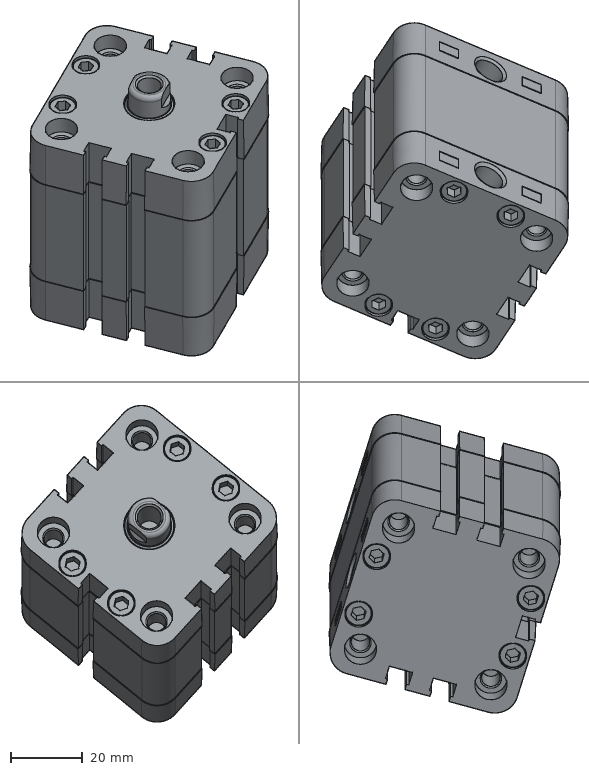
import cadquery as cq
import math


TOTAL_HEIGHT = 72.0
ROD_STICKOUT = 7.2
BODY_HEIGHT = TOTAL_HEIGHT - ROD_STICKOUT
CAP_HEIGHT = 14.5
BARREL_HEIGHT = BODY_HEIGHT - 2 * CAP_HEIGHT
CAP_WIDTH = 54.8
BARREL_WIDTH = 54.35
CAP_END_WIDTH = 54.3
CORNER_CENTRE = 20.6

SLOT_OFFSET = 6.4
SLOT_MOUTH_WIDTH = 5.55
SLOT_WIDTH = 6.8
CAP_SLOT_LIP = 1.7
CAP_SLOT_DEPTH = 5.55
BARREL_SLOT_LIP = 1.9
BARREL_SLOT_DEPTH = 5.25

PORT_DIAMETER = 8.6
PORT_MOUTH_DIAMETER = 10.4
PORT_DROP = 7.85
PORT_FLOOR_DIAMETER = 40.0
PANEL_OFFSET = 13.1
PANEL_WIDTH = 6.0
PANEL_HEIGHT = 4.0
PANEL_DROP = 7.05
PANEL_DEPTH = 0.3

MOUNT_OFFSET = 19.0
MOUNT_BORE_DIAMETER = 9.0
MOUNT_BORE_DEPTH = 5.0
MOUNT_CHAMFER_DIAMETER = 6.0
MOUNT_THREAD_DIAMETER = 5.2
MOUNT_DEPTH = 12.95

SCREW_X = 22.5
SCREW_Y = 9.0
SCREW_RECESS_DIAMETER = 7.7
SCREW_HEAD_DIAMETER = 7.5
SCREW_HEAD_CHAMFER = 0.2
SCREW_HEAD_DROP = 0.6
SCREW_GAP_DEPTH = 1.0
SOCKET_FLATS = 3.75
SOCKET_DEPTH = 3.95

SEAL_MOUTH_DIAMETER = 14.3
SEAL_BORE_DIAMETER = 14.0
SEAL_OUTER_DIAMETER = 13.7
SEAL_LIP_DIAMETER = 12.5
SEAL_DEPTH = 0.6
SEAL_LIP_DROP = 0.2

ROD_DIAMETER = 12.0
ROD_ROUNDING = 1.45
ROD_FLATS = 10.0
ROD_FLAT_LENGTH = 4.4
ROD_THREAD_DIAMETER = 6.6
ROD_THREAD_MOUTH_DIAMETER = 7.8
ROD_THREAD_DEPTH = 12.95


def four_corners(x, y):
    return [(sx * x, sy * y) for sx in (-1, 1) for sy in (-1, 1)]


def rounded_square(width):
    """Sketch of a square whose corner arcs keep their centres whatever the width."""
    return cq.Sketch().rect(width, width).vertices().fillet(width / 2 - CORNER_CENTRE)


def cone_frustum(diameter_bottom, diameter_top, height):
    return cq.Workplane("XY").add(cq.Solid.makeCone(diameter_bottom / 2, diameter_top / 2, height))


def chamfered_hole(diameter, mouth_diameter, depth):
    """Cutter for a hole going down from Z = 0, with a 45 degree chamfer at its mouth."""
    chamfer = (mouth_diameter - diameter) / 2
    cone = cone_frustum(diameter, mouth_diameter, chamfer).translate((0, 0, -chamfer))
    return cq.Workplane("XY").circle(diameter / 2).extrude(-depth).union(cone)


def sensor_slots(lip_thickness, depth):
    """Full-height cutters: two slots on each Y side and one on the +X side."""
    mouth_half = SLOT_MOUTH_WIDTH / 2
    slot_half = SLOT_WIDTH / 2
    side = CAP_WIDTH / 2
    floor = BARREL_WIDTH / 2 - depth
    lip = BARREL_WIDTH / 2 - lip_thickness
    outline = [
        (-mouth_half, side), (-mouth_half, lip), (-slot_half, lip), (-slot_half, floor),
        (slot_half, floor), (slot_half, lip), (mouth_half, lip), (mouth_half, side),
    ]
    slot = cq.Workplane("XY").polyline(outline).close().extrude(BODY_HEIGHT)
    cutters = slot.rotate((0, 0, 0), (0, 0, 1), -90)
    for turn in (0, 180):
        for offset in (-SLOT_OFFSET, SLOT_OFFSET):
            cutters = cutters.union(slot.translate((offset, 0, 0)).rotate((0, 0, 0), (0, 0, 1), turn))
    return cutters


def air_port():
    """Cutter for the port on the -X side, ending on a round core around the rod axis."""
    hole = chamfered_hole(PORT_DIAMETER, PORT_MOUTH_DIAMETER, CAP_WIDTH / 2)
    hole = hole.rotate((0, 0, 0), (0, 1, 0), -90).translate((-CAP_WIDTH / 2, 0, -PORT_DROP))
    core = cq.Workplane("XY").circle(PORT_FLOOR_DIAMETER / 2).extrude(-CAP_HEIGHT)
    return hole.cut(core)


def label_panels():
    middle_x = -CAP_WIDTH / 2
    centres = [(middle_x, -PANEL_OFFSET), (middle_x, PANEL_OFFSET)]
    panels = cq.Workplane("XY").workplane(offset=-PANEL_DROP).pushPoints(centres)
    return panels.box(2 * PANEL_DEPTH, PANEL_WIDTH, PANEL_HEIGHT)


def mounting_hole():
    bore = cq.Workplane("XY").circle(MOUNT_BORE_DIAMETER / 2).extrude(-MOUNT_BORE_DEPTH)
    thread = chamfered_hole(MOUNT_THREAD_DIAMETER, MOUNT_CHAMFER_DIAMETER, MOUNT_DEPTH - MOUNT_BORE_DEPTH)
    return bore.union(thread.translate((0, 0, -MOUNT_BORE_DEPTH)))


def screw_recess():
    """Cutter for the recess around and above a screw head, and the hexagon socket in it."""
    head_height = SCREW_GAP_DEPTH - SCREW_HEAD_DROP
    socket_corners = SOCKET_FLATS / math.cos(math.pi / 6)
    recess = cq.Workplane("XY").circle(SCREW_RECESS_DIAMETER / 2).extrude(-SCREW_GAP_DEPTH)
    head = cq.Workplane("XY").workplane(offset=-SCREW_GAP_DEPTH).circle(SCREW_HEAD_DIAMETER / 2)
    head = head.extrude(head_height).faces(">Z").edges().chamfer(SCREW_HEAD_CHAMFER)
    socket = cq.Workplane("XY").polygon(6, socket_corners).extrude(-SOCKET_DEPTH)
    socket = socket.rotate((0, 0, 0), (0, 0, 1), 30)
    return recess.cut(head).union(socket)


def make_cap():
    """Cap with its outer end face at Z = 0 and the barrel below it."""
    taper = math.degrees(math.atan((CAP_WIDTH - CAP_END_WIDTH) / 2 / CAP_HEIGHT))
    cap = cq.Workplane("XY").placeSketch(rounded_square(CAP_WIDTH)).extrude(CAP_HEIGHT, taper=taper)
    cap = cap.translate((0, 0, -CAP_HEIGHT))
    cap = cap.cut(sensor_slots(CAP_SLOT_LIP, CAP_SLOT_DEPTH).translate((0, 0, -BODY_HEIGHT)))
    cap = cap.cut(air_port()).cut(label_panels())
    for x, y in four_corners(MOUNT_OFFSET, MOUNT_OFFSET):
        cap = cap.cut(mounting_hole().translate((x, y, 0)))
    for x, y in four_corners(SCREW_X, SCREW_Y):
        cap = cap.cut(screw_recess().translate((x, y, 0)))
    return cap


def rod_passage():
    """Cutter for the rod hole, opening into the seal recess with its raised sloping lip."""
    mouth_chamfer = (SEAL_MOUTH_DIAMETER - SEAL_BORE_DIAMETER) / 2
    outline = [
        (0, 0),
        (SEAL_MOUTH_DIAMETER / 2, 0),
        (SEAL_BORE_DIAMETER / 2, -mouth_chamfer),
        (SEAL_BORE_DIAMETER / 2, -SEAL_DEPTH),
        (SEAL_OUTER_DIAMETER / 2, -SEAL_DEPTH),
        (SEAL_LIP_DIAMETER / 2, -SEAL_LIP_DROP),
        (ROD_DIAMETER / 2, -SEAL_LIP_DROP),
        (ROD_DIAMETER / 2, -CAP_HEIGHT),
        (0, -CAP_HEIGHT),
    ]
    return cq.Workplane("XZ").polyline(outline).close().revolve(360, (0, 0), (0, 1))


def make_head_cap():
    return make_cap().cut(rod_passage()).translate((0, 0, BODY_HEIGHT))


def make_rear_cap():
    """The same cap upside down, without a rod hole."""
    return make_cap().mirror("XY")


def make_barrel():
    barrel = cq.Workplane("XY").placeSketch(rounded_square(BARREL_WIDTH)).extrude(BARREL_HEIGHT)
    return barrel.translate((0, 0, CAP_HEIGHT)).cut(sensor_slots(BARREL_SLOT_LIP, BARREL_SLOT_DEPTH))


def wrench_flat():
    """Cutter for the flat on the +X side of the rod tip, run out at 45 degrees."""
    flat_x = ROD_FLATS / 2
    edge_x = ROD_DIAMETER / 2
    flat_z = TOTAL_HEIGHT - ROD_FLAT_LENGTH
    outline = [
        (flat_x, TOTAL_HEIGHT),
        (flat_x, flat_z),
        (edge_x, flat_z - (edge_x - flat_x)),
        (edge_x, TOTAL_HEIGHT),
    ]
    return cq.Workplane("XZ").polyline(outline).close().extrude(ROD_DIAMETER / 2, both=True)


def make_rod():
    base_z = BODY_HEIGHT - CAP_HEIGHT
    rod = cq.Workplane("XY").circle(ROD_DIAMETER / 2).extrude(TOTAL_HEIGHT - base_z)
    rod = rod.translate((0, 0, base_z)).faces(">Z").edges().fillet(ROD_ROUNDING)
    rod = rod.cut(wrench_flat()).cut(wrench_flat().mirror("YZ"))
    thread = chamfered_hole(ROD_THREAD_DIAMETER, ROD_THREAD_MOUTH_DIAMETER, ROD_THREAD_DEPTH)
    return rod.cut(thread.translate((0, 0, TOTAL_HEIGHT)))


head_cap = make_head_cap()
barrel = make_barrel()
rear_cap = make_rear_cap()
rod = make_rod()

result = cq.Compound.makeCompound([head_cap.val(), barrel.val(), rear_cap.val(), rod.val()])